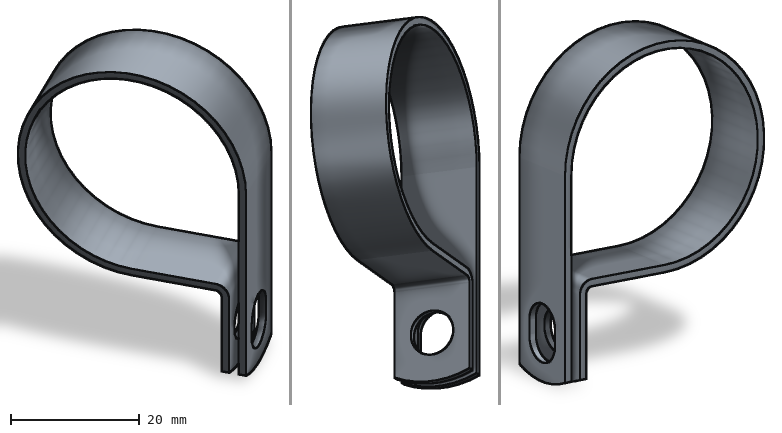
import cadquery as cq
import math

strip_width = 12.7
thickness = 1.2192

inner_radius = 34.925 / 2
outer_radius = inner_radius + thickness

tab_gap = 1.5875
tab_length = 34.85
tab_bottom = -tab_length
bend_inner_radius = 1.02
bend_outer_radius = bend_inner_radius + thickness
tab_end_rise = 1.34

hole_diameter = 7.14
slot_length = 9.525
hole_height = 7.9
hole_z = tab_bottom + hole_height

bent_tab_right = inner_radius - tab_gap
bent_tab_left = bent_tab_right - thickness


def clamp_strip():
    """Bent strip: straight tab, three-quarter ring, shelf and bent tab."""
    diagonal = math.sqrt(0.5)
    bend_x = bent_tab_right - bend_outer_radius
    bend_z = -inner_radius - bend_outer_radius
    return (
        cq.Workplane("XZ")
        .moveTo(outer_radius, tab_bottom)
        .lineTo(outer_radius, 0)
        .threePointArc((-outer_radius * diagonal, outer_radius * diagonal), (0, -outer_radius))
        .lineTo(bend_x, -outer_radius)
        .threePointArc(
            (bend_x + bend_inner_radius * diagonal, bend_z + bend_inner_radius * diagonal),
            (bent_tab_left, bend_z),
        )
        .lineTo(bent_tab_left, tab_bottom)
        .lineTo(bent_tab_right, tab_bottom)
        .lineTo(bent_tab_right, bend_z)
        .threePointArc(
            (bend_x + bend_outer_radius * diagonal, bend_z + bend_outer_radius * diagonal),
            (bend_x, -inner_radius),
        )
        .lineTo(0, -inner_radius)
        .threePointArc((-inner_radius * diagonal, inner_radius * diagonal), (inner_radius, 0))
        .lineTo(inner_radius, tab_bottom)
        .close()
        .extrude(strip_width / 2, both=True)
    )


def rounded_end_envelope():
    """Side outline of the whole strip, with the arc that rounds both tab ends."""
    half_width = strip_width / 2
    edge_z = tab_bottom + tab_end_rise
    return (
        cq.Workplane("YZ")
        .moveTo(-half_width, edge_z)
        .threePointArc((0, tab_bottom), (half_width, edge_z))
        .lineTo(half_width, outer_radius)
        .lineTo(-half_width, outer_radius)
        .close()
        .extrude(outer_radius, both=True)
    )


def bolt_hole():
    """Cylinder along X that pierces the bent tab."""
    return (
        cq.Workplane("YZ", origin=(bent_tab_left, 0, hole_z))
        .circle(hole_diameter / 2)
        .extrude(thickness)
    )


def bolt_slot():
    """Upright round-ended slot that pierces the straight tab."""
    return (
        cq.Workplane("YZ", origin=(inner_radius, 0, hole_z))
        .slot2D(slot_length, hole_diameter, angle=90)
        .extrude(thickness)
    )


result = (
    clamp_strip()
    .intersect(rounded_end_envelope())
    .cut(bolt_hole())
    .cut(bolt_slot())
)